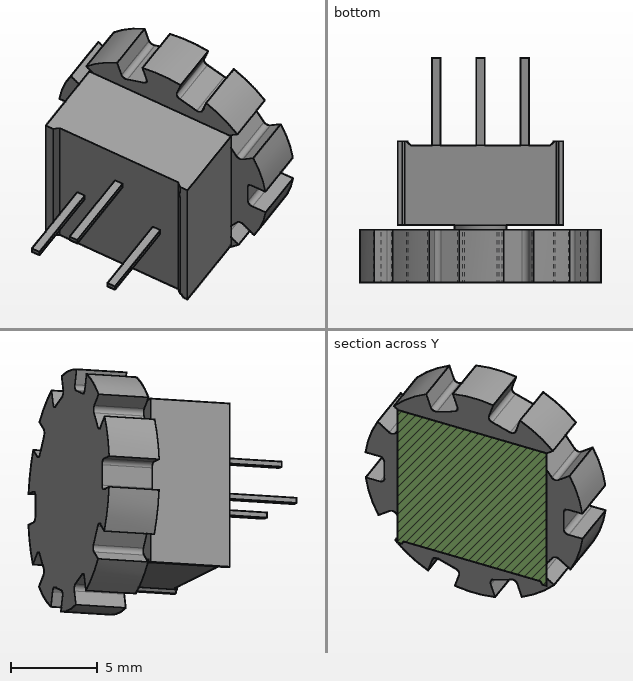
import cadquery as cq


housing_width = 9.53
housing_depth = 4.83
foot_height = 0.25
foot_width = 0.5
foot_slope_width = 0.28

pad_diameter = 0.5
pad_center_x = 4.42
pad_center_z = 4.07

relief_depth = 0.2
relief_rail_width = 0.28
relief_slope_width = 0.12

pin_width = 0.51
pin_thickness = 0.3
pin_length = 4.78
pin_pitch = 2.54
lower_pin_z = -0.27

shaft_diameter = 3.0
shaft_length = 0.25

wheel_diameter = 13.97
wheel_thickness = 3.05
wheel_turn = 0.5
notch_count = 10
notch_width = 1.79
notch_floor_radius = 5.73
notch_corner_radius = 0.3

half_width = housing_width / 2
wheel_front_y = housing_depth + shaft_length


def make_housing():
    return cq.Workplane("XY").box(
        housing_width, housing_depth, housing_width, centered=(True, False, True)
    )


def tapered_channel(workplane, base, depth, rail_width, slope_width):
    """Channel profile with sloped sides, starting at `base` and `depth` deep."""
    mouth_x = half_width - rail_width
    floor_x = mouth_x - slope_width
    floor = base + depth
    return workplane.polyline(
        [(-mouth_x, base), (-floor_x, floor), (floor_x, floor), (mouth_x, base)]
    ).close()


def make_foot_channel():
    """Vertical channel that leaves the two feet on the pin face."""
    profile = tapered_channel(
        cq.Workplane("XY"), 0, foot_height, foot_width, foot_slope_width
    )
    return profile.extrude(half_width, both=True)


def make_bottom_relief():
    """Channel through the full depth of the housing's bottom face."""
    profile = tapered_channel(
        cq.Workplane("XZ"), -half_width, relief_depth, relief_rail_width, relief_slope_width
    )
    return profile.extrude(-housing_depth)


def make_pads():
    return (
        cq.Workplane("XZ")
        .pushPoints([(-pad_center_x, -pad_center_z), (pad_center_x, pad_center_z)])
        .circle(pad_diameter / 2)
        .extrude(-foot_height)
    )


def make_pins():
    upper_pin_z = lower_pin_z + pin_pitch
    pin_centers = [(-pin_pitch, lower_pin_z), (0, upper_pin_z), (pin_pitch, lower_pin_z)]
    return (
        cq.Workplane("XZ", origin=(0, foot_height, 0))
        .pushPoints(pin_centers)
        .rect(pin_width, pin_thickness)
        .extrude(foot_height + pin_length)
    )


def make_shaft():
    return (
        cq.Workplane("XZ", origin=(0, housing_depth, 0))
        .circle(shaft_diameter / 2)
        .extrude(-shaft_length)
    )


def make_notch(angle):
    """Notch cutter with rounded floor corners, turned about the wheel axis."""
    notch_length = wheel_diameter / 2
    return (
        cq.Workplane("XZ", origin=(0, wheel_front_y, 0))
        .center(notch_floor_radius + notch_length / 2, 0)
        .rect(notch_length, notch_width)
        .extrude(-wheel_thickness)
        .edges("|Y and <X")
        .fillet(notch_corner_radius)
        .rotate((0, 0, 0), (0, -1, 0), angle)
    )


def make_wheel():
    wheel = (
        cq.Workplane("XZ", origin=(0, wheel_front_y, 0))
        .circle(wheel_diameter / 2)
        .extrude(-wheel_thickness)
    )
    for index in range(notch_count):
        wheel = wheel.cut(make_notch(wheel_turn + index * 360 / notch_count))
    return wheel


housing = make_housing().cut(make_foot_channel()).cut(make_bottom_relief())
result = housing.union(make_pads()).union(make_pins()).union(make_shaft()).union(make_wheel())